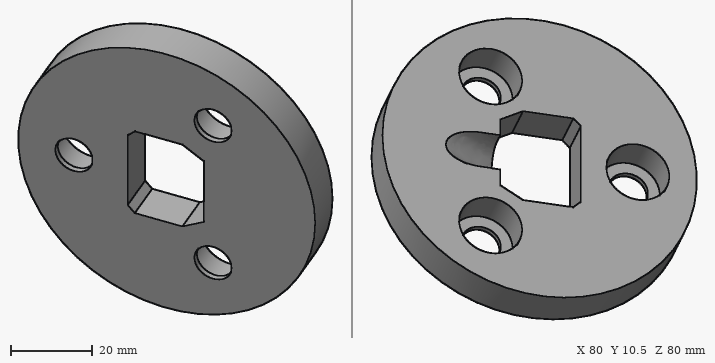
import cadquery as cq
import math

disc_diameter = 80.0
thickness = 10.5
back_y = thickness / 2

bolt_count = 3
bolt_circle_radius = 25.0
bolt_diameter = 10.0
counterbore_diameter = 16.0
front_lip = 1.5

window_left = -10.5
window_right = 10.0
window_half_height = 12.9
left_chamfer = 1.9
right_chamfer_length = 5.8
right_chamfer_angle = 30.0

groove_radius = 5.0
groove_slope = 30.0
groove_axis_depth = 3.0


def y_cylinder(diameter, start_y, end_y):
    """Cylinder along Y, centred on X = Z = 0."""
    return (
        cq.Workplane("XZ", origin=(0, start_y, 0))
        .circle(diameter / 2)
        .extrude(start_y - end_y)
    )


def bolt_hole_cutter():
    through = y_cylinder(bolt_diameter, -back_y, back_y)
    counterbore = y_cylinder(counterbore_diameter, front_lip - back_y, back_y)
    return through.union(counterbore)


def window_cutter():
    right_drop = right_chamfer_length * math.tan(math.radians(right_chamfer_angle))
    upper_half = [
        (window_right, window_half_height - right_drop),
        (window_right - right_chamfer_length, window_half_height),
        (window_left + left_chamfer, window_half_height),
        (window_left, window_half_height - left_chamfer),
    ]
    lower_half = [(x, -z) for x, z in reversed(upper_half)]
    return (
        cq.Workplane("XZ")
        .polyline(upper_half + lower_half)
        .close()
        .extrude(back_y, both=True)
    )


def groove_cutter():
    """U-shaped bar, open towards +Y, centred on the window wall and tilted up to the back."""
    reach = disc_diameter / 2
    floor_depth = groove_radius * math.cos(math.radians(groove_slope))
    floor_bar = (
        cq.Workplane("YZ", origin=(window_right - reach, 0, 0))
        .ellipse(floor_depth, groove_radius)
        .extrude(2 * reach)
    )
    open_bar = cq.Workplane("XY", origin=(window_right, 0, 0)).box(
        2 * reach, reach, 2 * groove_radius, centered=(True, False, True)
    )
    bar = floor_bar.union(open_bar)
    pivot = (window_right, 0, 0)
    pivot_top = (window_right, 0, 1)
    tilted = bar.rotate(pivot, pivot_top, groove_slope)
    placed = tilted.translate((0, back_y - groove_axis_depth, 0))
    outward_side = cq.Workplane("XY").box(
        reach, disc_diameter, disc_diameter, centered=(False, True, True)
    ).translate(pivot)
    return placed.intersect(outward_side)


result = y_cylinder(disc_diameter, -back_y, back_y)
result = result.cut(window_cutter()).cut(groove_cutter())

for index in range(bolt_count):
    angle = math.radians(180 + index * 360 / bolt_count)
    hole_x = bolt_circle_radius * math.cos(angle)
    hole_z = bolt_circle_radius * math.sin(angle)
    result = result.cut(bolt_hole_cutter().translate((hole_x, 0, hole_z)))